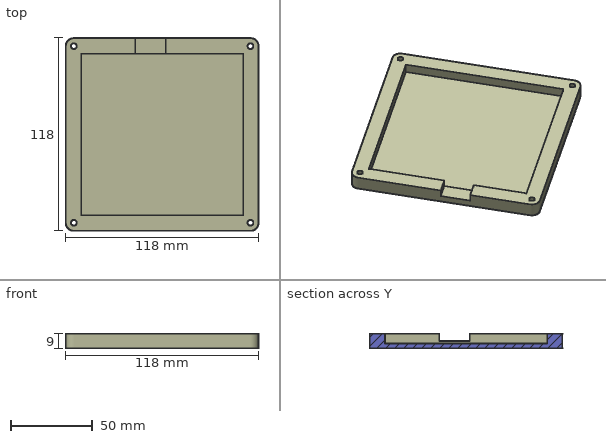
import cadquery as cq

SIDE = 118.0
HEIGHT = 9.0
CORNER_RADIUS = 5.0

POCKET_SIDE = 99.0
POCKET_DEPTH = 6.0

NOTCH_WIDTH = 18.5
NOTCH_DEPTH = 4.5
NOTCH_CENTER_X = -7.15

HOLE_DIAMETER = 3.4
HOLE_SPACING = SIDE - 2 * CORNER_RADIUS


def tray_body():
    """Square plate with rounded vertical corners, standing on Z = 0."""
    plate = cq.Workplane("XY").box(SIDE, SIDE, HEIGHT, centered=(True, True, False))
    return plate.edges("|Z").fillet(CORNER_RADIUS)


def pocket():
    """Sharp-cornered volume of the central pocket."""
    return (
        cq.Workplane("XY", origin=(0, 0, HEIGHT))
        .rect(POCKET_SIDE, POCKET_SIDE)
        .extrude(-POCKET_DEPTH)
    )


def cable_notch():
    """Volume of the notch, from the middle of the pocket out through the +Y wall."""
    length = SIDE / 2
    return (
        cq.Workplane("XY", origin=(NOTCH_CENTER_X, length / 2, HEIGHT))
        .rect(NOTCH_WIDTH, length)
        .extrude(-NOTCH_DEPTH)
    )


def screw_holes():
    """Four through holes, one in each corner."""
    return (
        cq.Workplane("XY")
        .rect(HOLE_SPACING, HOLE_SPACING, forConstruction=True)
        .vertices()
        .circle(HOLE_DIAMETER / 2)
        .extrude(HEIGHT)
    )


result = tray_body().cut(pocket()).cut(cable_notch()).cut(screw_holes())